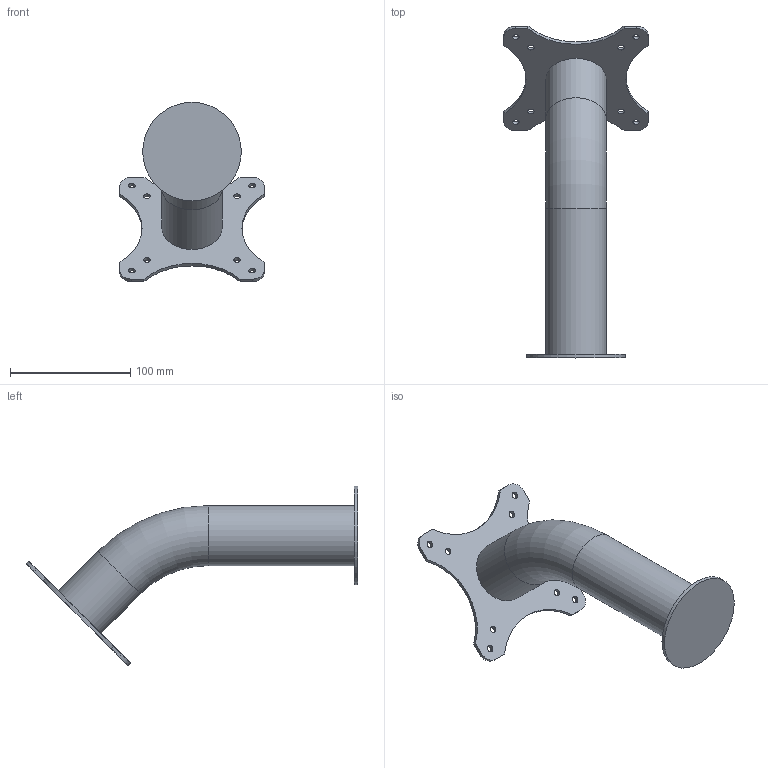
import cadquery as cq
import math

tube_diameter = 50.0
first_straight = 121.5
second_straight = 46.5
bend_angle = 45.0
bend_radius = 105.0

disc_diameter = 82.0
disc_thickness = 3.0

plate_size = 120.0
plate_thickness = 3.0
corner_radius = 10.0
plate_sides = 4
scallop_width = 80.0
scallop_depth = 18.5
hole_diameter = 5.4
hole_spacings = (75.0, 100.0)

bend_start = disc_thickness + first_straight
run = math.cos(math.radians(bend_angle))
drop = math.sin(math.radians(bend_angle))
half_run = math.cos(math.radians(bend_angle / 2))
half_drop = math.sin(math.radians(bend_angle / 2))

bend_middle = (bend_start + bend_radius * half_drop, -bend_radius * (1 - half_run))
bend_end = (bend_start + bend_radius * drop, -bend_radius * (1 - run))
tube_end = (bend_end[0] + second_straight * run, bend_end[1] - second_straight * drop)


def make_disc():
    """Base disc with its outer face on the plane Y = 0."""
    return cq.Workplane("XZ").circle(disc_diameter / 2).extrude(-disc_thickness)


def make_tube():
    """Round bar swept along the straight, bent and straight centreline."""
    path = (
        cq.Workplane("YZ")
        .moveTo(disc_thickness, 0)
        .lineTo(bend_start, 0)
        .threePointArc(bend_middle, bend_end)
        .lineTo(*tube_end)
    )
    section = cq.Workplane("XZ", origin=(0, disc_thickness, 0)).circle(tube_diameter / 2)
    return section.sweep(path)


def make_plate():
    """Scalloped mounting plate, square to the lower end of the tube."""
    plane = cq.Plane(origin=(0, *tube_end), xDir=(1, 0, 0), normal=(0, run, -drop))
    plate = cq.Workplane(plane).rect(plate_size, plate_size).extrude(plate_thickness)
    plate = plate.edges(cq.selectors.ParallelDirSelector(plane.zDir)).fillet(corner_radius)

    half_width = scallop_width / 2
    scallop_radius = (half_width**2 + scallop_depth**2) / (2 * scallop_depth)
    scallop_center = plate_size / 2 - scallop_depth + scallop_radius
    scallops = (
        cq.Workplane(plane)
        .polarArray(scallop_center, 0, 360, plate_sides)
        .circle(scallop_radius)
        .extrude(plate_thickness)
    )
    plate = plate.cut(scallops)

    for spacing in hole_spacings:
        holes = (
            cq.Workplane(plane)
            .rect(spacing, spacing, forConstruction=True)
            .vertices()
            .circle(hole_diameter / 2)
            .extrude(plate_thickness)
        )
        plate = plate.cut(holes)
    return plate


result = make_disc().union(make_tube()).union(make_plate())